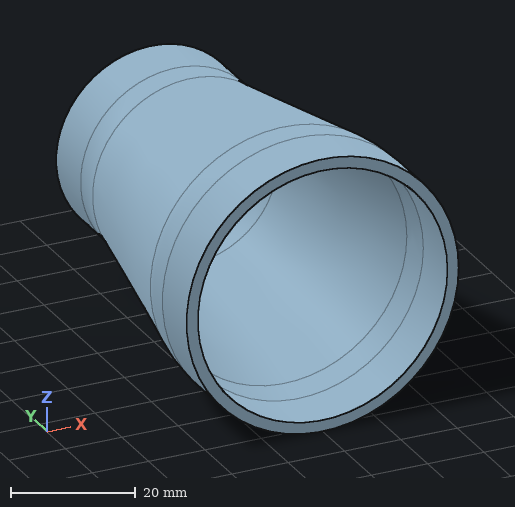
import cadquery as cq
import math

length = 64.0
wide_outer_diameter = 48.3
narrow_outer_diameter = 33.7
wide_bore_diameter = 44.3
collar_length = 9.1
bend_radius = 31.05

wide_radius = wide_outer_diameter / 2
narrow_radius = narrow_outer_diameter / 2
wall = wide_radius - wide_bore_diameter / 2

wide_centre = (wide_radius - bend_radius, collar_length)
narrow_centre = (narrow_radius + bend_radius, length - collar_length)
centre_rise = narrow_centre[0] - wide_centre[0]
centre_run = narrow_centre[1] - wide_centre[1]
centre_distance = math.hypot(centre_rise, centre_run)
cone_angle = math.atan2(centre_run, centre_rise) - math.acos(2 * bend_radius / centre_distance)


def on_bend(centre, radius, angle):
    """Point on a bend circle, with the angle measured from the radial direction."""
    return (centre[0] + radius * math.cos(angle), centre[1] + radius * math.sin(angle))


def reducer_solid(inset):
    """Solid of revolution about Y whose skin lies the given depth below the outer skin."""
    wide_bend = bend_radius - inset
    narrow_bend = -(bend_radius + inset)
    return (
        cq.Workplane("XY")
        .moveTo(0, 0)
        .lineTo(wide_radius - inset, 0)
        .lineTo(*on_bend(wide_centre, wide_bend, 0))
        .threePointArc(
            on_bend(wide_centre, wide_bend, cone_angle / 2),
            on_bend(wide_centre, wide_bend, cone_angle),
        )
        .lineTo(*on_bend(narrow_centre, narrow_bend, cone_angle))
        .threePointArc(
            on_bend(narrow_centre, narrow_bend, cone_angle / 2),
            on_bend(narrow_centre, narrow_bend, 0),
        )
        .lineTo(narrow_radius - inset, length)
        .lineTo(0, length)
        .close()
        .revolve(360, (0, 0, 0), (0, 1, 0))
    )


outer_body = reducer_solid(0)
bore = reducer_solid(wall)
result = outer_body.cut(bore)